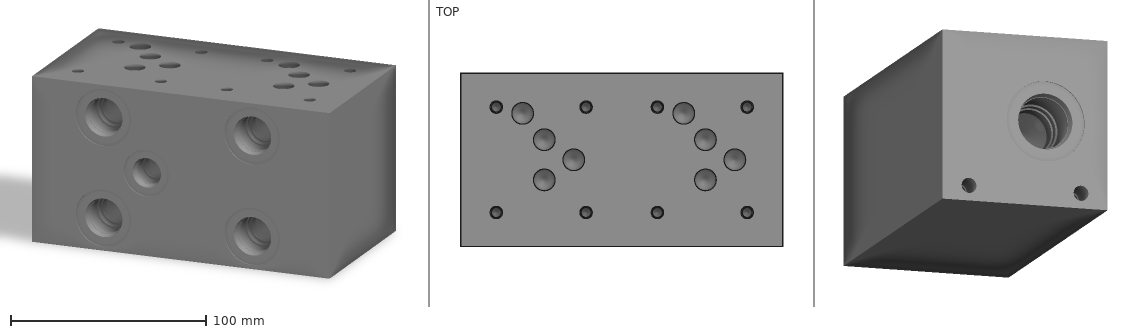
import math

import cadquery as cq

LENGTH = 165.1
WIDTH = 88.9
HEIGHT = 88.9
MODULE_PITCH = LENGTH / 2

BOLT_SPAN_X = 46.0
BOLT_SPAN_Y = 54.0
VALVE_PORT_DIAMETER = 11.12
VALVE_PORT_DEPTH = 3.2
VALVE_PORT_OFFSETS = [(13.5, 3.2), (24.6, 16.7), (39.7, 27.0), (24.6, 37.3)]

VALVE_BOLT_HOLE = (6.35, 16.0, 5.11, 20.0)
MOUNTING_HOLE = (7.92, 16.0, 6.53, 20.0)
MOUNTING_HOLE_Y = 30.15
MOUNTING_HOLE_Z = -36.5

WORK_PORT_SHIFT_X = -1.65
WORK_PORT_Z = 27.0
GAUGE_PORT_X = -19.1
GAUGE_PORT_Z = 0.0

PRESSURE_PORT_Y = -11.1
PRESSURE_PORT_Z = 0.0

SPOTFACE_DEPTH = 0.6
SEAL_CONE_ANGLE = math.radians(12)
DRILL_POINT_HALF_ANGLE = math.radians(59)

PRESSURE_PORT = ((41.9, 29.2, 27.43, 26.99, 24.92, 23.01), (22.0, 26.0, 34.0))
WORK_PORT = ((30.63, 20.65, 19.25, 19.05, 17.5, 15.88), (14.3, 18.0, 24.0))
GAUGE_PORT = ((24.92, 15.8, 14.4, 14.29, 12.9, 12.7), (12.7, 16.0, 20.0))


def drill_point_length(radius):
    return radius / math.tan(DRILL_POINT_HALF_ANGLE)


def revolve_cutter(profile):
    """Revolve (radius, depth) points about Z; depth runs along -Z from the origin."""
    points = [(0, 0)] + [(radius, -depth) for radius, depth in profile]
    return cq.Workplane("XZ").polyline(points).close().revolve(360, (0, 0), (0, 1))


def drilled_hole(diameter, depth):
    radius = diameter / 2
    tip = depth + drill_point_length(radius)
    return revolve_cutter([(radius, 0), (radius, depth), (0, tip)])


def tapped_hole(thread_diameter, thread_depth, drill_diameter, drill_depth):
    thread = cq.Workplane("XY").circle(thread_diameter / 2).extrude(-thread_depth)
    return thread.union(drilled_hole(drill_diameter, drill_depth))


def threaded_port(diameters, depths):
    """Spotfaced port: seal cone, thread bore, tap drill bore, feed drill bore."""
    spotface, cone_mouth, cone_root, thread, tap_drill, feed_drill = [d / 2 for d in diameters]
    thread_depth, tap_drill_depth, feed_drill_depth = depths
    cone_end = SPOTFACE_DEPTH + (cone_mouth - cone_root) / math.tan(SEAL_CONE_ANGLE)
    return revolve_cutter([
        (spotface, 0),
        (spotface, SPOTFACE_DEPTH),
        (cone_mouth, SPOTFACE_DEPTH),
        (cone_root, cone_end),
        (thread, cone_end),
        (thread, thread_depth),
        (tap_drill, thread_depth),
        (tap_drill, tap_drill_depth),
        (feed_drill, tap_drill_depth),
        (feed_drill, feed_drill_depth),
        (0, feed_drill_depth + drill_point_length(feed_drill)),
    ])


def on_top(cutter, x, y):
    return cutter.translate((x, y, HEIGHT / 2))


def on_front(cutter, x, z):
    """Turn a cutter to enter through the -Y face."""
    turned = cutter.rotate((0, 0, 0), (1, 0, 0), 90)
    return turned.translate((x, -WIDTH / 2, z))


def on_left(cutter, y, z):
    """Turn a cutter to enter through the -X face."""
    turned = cutter.rotate((0, 0, 0), (0, 1, 0), -90)
    return turned.translate((-LENGTH / 2, y, z))


def cut_valve_station(body, center_x):
    bolt_hole = tapped_hole(*VALVE_BOLT_HOLE)
    valve_port = drilled_hole(VALVE_PORT_DIAMETER, VALVE_PORT_DEPTH)
    for side_x in (-1, 1):
        for side_y in (-1, 1):
            x = center_x + side_x * BOLT_SPAN_X / 2
            y = side_y * BOLT_SPAN_Y / 2
            body = body.cut(on_top(bolt_hole, x, y))
    for offset_x, offset_y in VALVE_PORT_OFFSETS:
        x = center_x - BOLT_SPAN_X / 2 + offset_x
        y = BOLT_SPAN_Y / 2 - offset_y
        body = body.cut(on_top(valve_port, x, y))
    return body


def cut_work_ports(body, center_x):
    work_port = threaded_port(*WORK_PORT)
    for z in (-WORK_PORT_Z, WORK_PORT_Z):
        body = body.cut(on_front(work_port, center_x + WORK_PORT_SHIFT_X, z))
    return body


def cut_mounting_holes(body):
    mounting_hole = tapped_hole(*MOUNTING_HOLE)
    for y in (-MOUNTING_HOLE_Y, MOUNTING_HOLE_Y):
        body = body.cut(on_left(mounting_hole, y, MOUNTING_HOLE_Z))
    return body


block = cq.Workplane("XY").box(LENGTH, WIDTH, HEIGHT)
for station_x in (-MODULE_PITCH / 2, MODULE_PITCH / 2):
    block = cut_valve_station(block, station_x)
    block = cut_work_ports(block, station_x)
block = cut_mounting_holes(block)
block = block.cut(on_front(threaded_port(*GAUGE_PORT), GAUGE_PORT_X, GAUGE_PORT_Z))
block = block.cut(on_left(threaded_port(*PRESSURE_PORT), PRESSURE_PORT_Y, PRESSURE_PORT_Z))

result = block